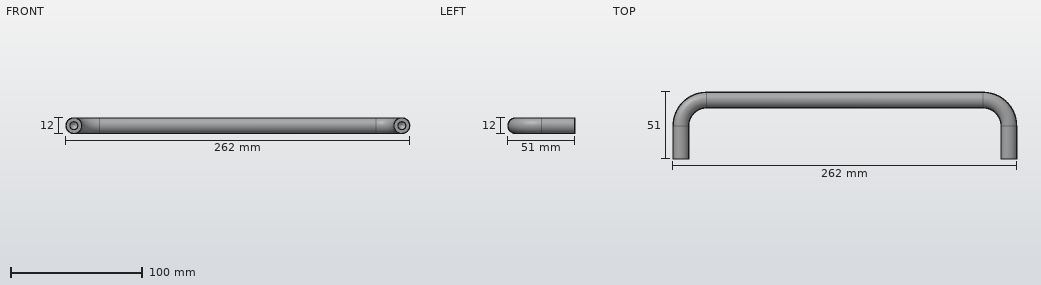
import cadquery as cq
import math

length = 262.0
depth = 51.0
rod_diameter = 12.0
bend_radius = 19.6
hole_diameter = 6.0
hole_depth = 15.7
drill_point_angle = 118.0

leg_x = (length - rod_diameter) / 2
grip_y = depth - rod_diameter / 2
bend_start_y = grip_y - bend_radius
grip_end_x = leg_x - bend_radius


def bent_rod():
    """Round rod swept along a U-shaped centreline."""
    centreline = (
        cq.Workplane("XY")
        .moveTo(-leg_x, 0)
        .lineTo(-leg_x, bend_start_y)
        .tangentArcPoint((-grip_end_x, grip_y), relative=False)
        .lineTo(grip_end_x, grip_y)
        .tangentArcPoint((leg_x, bend_start_y), relative=False)
        .lineTo(leg_x, 0)
    )
    return (
        cq.Workplane("XZ", origin=(-leg_x, 0, 0))
        .circle(rod_diameter / 2)
        .sweep(centreline)
    )


def mounting_hole(x):
    """Blind drilled hole with a conical bottom, running into a leg along +Y."""
    hole_radius = hole_diameter / 2
    point_height = hole_radius / math.tan(math.radians(drill_point_angle / 2))
    half_profile = (
        cq.Workplane("XY", origin=(x, 0, 0))
        .lineTo(hole_radius, 0)
        .lineTo(hole_radius, hole_depth)
        .lineTo(0, hole_depth + point_height)
        .close()
    )
    return half_profile.revolve(360, (0, 0, 0), (0, 1, 0))


result = bent_rod()
for side in (-1, 1):
    result = result.cut(mounting_hole(side * leg_x))